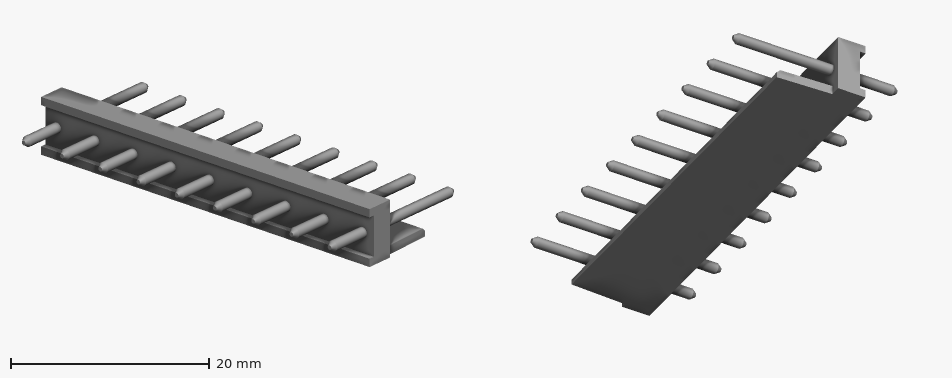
import cadquery as cq

bar_length = 43.65
bar_depth = 3.2
bar_height = 6.35
lip_height = 0.9
recess_depth = 0.65

pin_count = 9
pin_diameter = 1.2
pin_front_reach = 4.45
pin_total_length = 19.03
pin_row_span = 40.65
pin_end_margin = (bar_length - pin_row_span) / 2
pin_pitch = pin_row_span / (pin_count - 1)
tip_length = 0.52
tip_end_diameter = 0.5

tongue_reach = 6.33
tongue_thickness = 1.0
tongue_left_inset = 1.2
tongue_right_inset = 0.52
tongue_side_taper = 0.25
tongue_chamfer = 0.4


def make_bar():
    """Bar with a full-length recess between two lips on its front face."""
    bar = cq.Workplane("XY").box(bar_length, bar_depth, bar_height, centered=False)
    recess_height = bar_height - 2 * lip_height
    recess = (
        cq.Workplane("XY")
        .box(bar_length, recess_depth, recess_height, centered=False)
        .translate((0, 0, lip_height))
    )
    return bar.cut(recess)


def make_tongue():
    """Flat tongue with slightly tapered ends and a chamfered rear top edge."""
    rear = bar_depth + tongue_reach
    left = tongue_left_inset
    right = bar_length - tongue_right_inset
    tongue = (
        cq.Workplane("XY")
        .moveTo(left, bar_depth)
        .lineTo(right, bar_depth)
        .lineTo(right - tongue_side_taper, rear)
        .lineTo(left + tongue_side_taper, rear)
        .close()
        .extrude(tongue_thickness)
    )
    return tongue.faces(">Y").edges(">Z").chamfer(tongue_chamfer)


def make_pin(x):
    """Round pin along Y with a conical tip at each end."""
    front = -pin_front_reach
    rear = front + pin_total_length
    radius = pin_diameter / 2
    tip_radius = tip_end_diameter / 2
    return (
        cq.Workplane("XY")
        .moveTo(0, front)
        .lineTo(tip_radius, front)
        .lineTo(radius, front + tip_length)
        .lineTo(radius, rear - tip_length)
        .lineTo(tip_radius, rear)
        .lineTo(0, rear)
        .close()
        .revolve(360, (0, 0, 0), (0, 1, 0))
        .translate((x, 0, bar_height / 2))
    )


result = make_bar().union(make_tongue())
for index in range(pin_count):
    result = result.union(make_pin(pin_end_margin + index * pin_pitch))